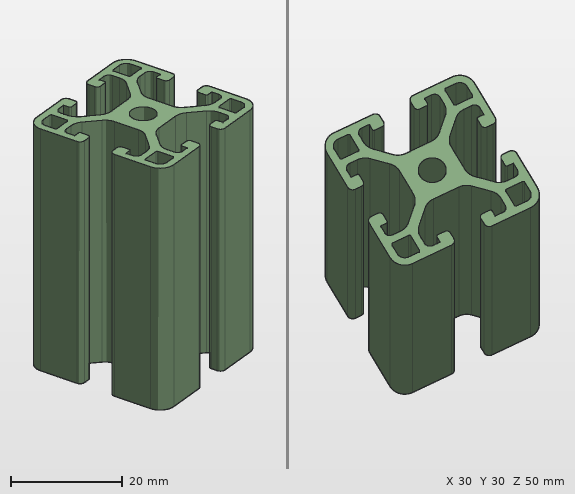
import cadquery as cq
import math

side = 30.0
length = 50.0
half_side = side / 2
corner_radius = 3.0

wall = 1.5
lip_depth = 3.0
slot_half_opening = 3.1
lip_inner_offset = 5.6
lip_outer_radius = 1.0
lip_inner_radius = 0.75
hook_radius = 0.3

web = 1.45
slot_half_width = 8.2
cavity_radius = 1.1
cavity_floor_radius = 3.0

core_half_width = 5.25
core_radius = 3.0
arm_thickness = 2.0
bore_diameter = 5.0

chamber_outer_radius = 1.5
chamber_small_radius = 0.3

inner_face = half_side - wall
lip_face = half_side - lip_depth
arm_shift = arm_thickness * math.sqrt(2) / 2


def fillet_at(solid, corners, radius):
    """Round the vertical edges standing at the given (x, y) corners."""
    tolerance = 0.005
    selected = None
    for x, y in corners:
        box = cq.selectors.BoxSelector(
            (x - tolerance, y - tolerance, -tolerance),
            (x + tolerance, y + tolerance, length + tolerance),
            boundingbox=True,
        )
        selected = box if selected is None else selected + box
    return solid.edges(selected).fillet(radius)


def mirrored(x, y):
    """Pair of points placed symmetrically about the Y axis."""
    return [(x, y), (-x, y)]


def make_slot():
    """T-slot opening towards +Y."""
    overshoot = 2.5
    right_half = [
        (slot_half_opening, half_side + overshoot),
        (slot_half_opening, lip_face),
        (lip_inner_offset, lip_face),
        (lip_inner_offset, inner_face),
        (slot_half_width, inner_face),
        (slot_half_width, slot_half_width + arm_shift),
        (core_half_width - arm_shift, core_half_width),
    ]
    left_half = [(-x, y) for x, y in reversed(right_half)]
    slot = cq.Workplane("XY").polyline(right_half + left_half).close().extrude(length)
    slot = fillet_at(slot, mirrored(slot_half_opening, lip_face), lip_inner_radius)
    slot = fillet_at(slot, mirrored(lip_inner_offset, lip_face), hook_radius)
    slot = fillet_at(slot, mirrored(slot_half_width, inner_face), cavity_radius)
    slot = fillet_at(slot, mirrored(slot_half_width, slot_half_width + arm_shift), cavity_floor_radius)
    return fillet_at(slot, mirrored(core_half_width - arm_shift, core_half_width), core_radius)


def make_chamber():
    """Hollow chamber in the +X +Y corner."""
    near = slot_half_width + web
    size = inner_face - near
    chamber = cq.Workplane("XY").box(size, size, length, centered=False).translate((near, near, 0))
    chamber = fillet_at(chamber, [(inner_face, inner_face)], chamber_outer_radius)
    return fillet_at(chamber, [(near, near), (near, inner_face), (inner_face, near)], chamber_small_radius)


profile = cq.Workplane("XY").rect(side, side).extrude(length)
profile = profile.edges("|Z").fillet(corner_radius)

slot = make_slot()
chamber = make_chamber()
for quarter in range(4):
    turn = 90 * quarter
    profile = profile.cut(slot.rotate((0, 0, 0), (0, 0, 1), turn))
    profile = profile.cut(chamber.rotate((0, 0, 0), (0, 0, 1), turn))

mouth_edges = []
for sign in (1, -1):
    mouth_edges += mirrored(slot_half_opening, sign * half_side)
    mouth_edges += mirrored(half_side, sign * slot_half_opening)
profile = fillet_at(profile, mouth_edges, lip_outer_radius)

bore = cq.Workplane("XY").circle(bore_diameter / 2).extrude(length)
result = profile.cut(bore)